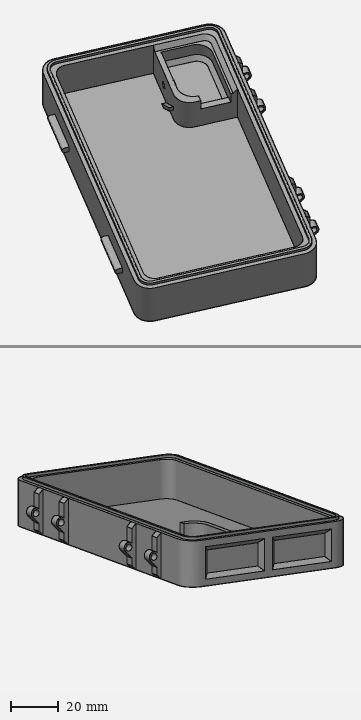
import cadquery as cq
import math

LENGTH = 140.0
WIDTH = 80.0
BODY_HEIGHT = 20.0
CORNER_RADIUS = 7.0
WALL = 5.0
FLOOR = 3.0
CAVITY_RADIUS = 5.0

LIP_HEIGHT = 1.2
LIP_OUTER_INSET = 1.9
LIP_INNER_INSET = 3.1

RECESS_SPAN = 29.0
RECESS_GAP = 4.0
RECESS_BOTTOM = 3.0
RECESS_TOP = 17.0
RECESS_BORDER = 2.0
RECESS_DEPTH = 2.0

PAIR_CENTERS = (-37.0, 37.0)
FITTING_Z = BODY_HEIGHT / 2
KNUCKLE_SPACING = 20.0
KNUCKLE_WIDTH = 4.0
KNUCKLE_PLATE = 2.0
KNUCKLE_RADIUS = 2.3
KNUCKLE_REACH = 5.79
PIN_HOLE_DIAMETER = 3.0
LATCH_LENGTH = 20.0
LATCH_DIAMETER = 2.8
LATCH_REACH = 3.2

BLOCK_RIGHT = -30.0
BLOCK_FRONT = 9.0
BLOCK_TOP = 18.0
BLOCK_RADIUS = 7.0
RIM_SLOPE = BODY_HEIGHT - BLOCK_TOP
POCKET_WALL = 3.0
POCKET_FRONT_WALL = 2.5
POCKET_RADIUS = 7.0
POCKET_FLOOR = 10.0
POCKET_CHAMFER = 2.0
NOTCH_FLOOR = 13.0
NOTCH_FRONT = 18.8

CROSS_HOLE_DIAMETER = 2.8
CROSS_HOLE_X = -50.7
CROSS_HOLE_LENGTH = 5.0

RIB_LEFT = -47.0
RIB_RIGHT = -37.0
RIB_LEFT_TOP = 3.0
RIB_RIGHT_TOP = 10.5
RIB_HEIGHT = 2.0
RIB_DEPTH = 2.0

CAVITY_LEFT = -LENGTH / 2 + WALL
CAVITY_BACK = WIDTH / 2 - WALL


def rounded_slab(inset, radius, bottom, height):
    """Rounded plate set in from the tray outline by the given amount."""
    slab = cq.Workplane("XY", origin=(0, 0, bottom))
    slab = slab.rect(LENGTH - 2 * inset, WIDTH - 2 * inset).extrude(height)
    return slab.edges("|Z").fillet(radius)


def box_between(x_range, y_range, z_range):
    """Box given by its limits along each axis."""
    size = [high - low for low, high in (x_range, y_range, z_range)]
    box = cq.Workplane("XY").box(*size, centered=False)
    return box.translate((x_range[0], y_range[0], z_range[0]))


def make_tray():
    """Open tray with a raised sealing lip around the rim."""
    body = rounded_slab(0, CORNER_RADIUS, 0, BODY_HEIGHT)
    lip = rounded_slab(LIP_OUTER_INSET, CORNER_RADIUS - LIP_OUTER_INSET, BODY_HEIGHT, LIP_HEIGHT)
    lip_opening = rounded_slab(LIP_INNER_INSET, CORNER_RADIUS - LIP_INNER_INSET, BODY_HEIGHT, LIP_HEIGHT)
    cavity = rounded_slab(WALL, CAVITY_RADIUS, FLOOR, BODY_HEIGHT)
    return body.union(lip.cut(lip_opening)).cut(cavity)


def make_end_recess(center_y):
    """Shallow rectangular recess with sloping sides in the -X face."""
    height = RECESS_TOP - RECESS_BOTTOM
    center = (-LENGTH / 2, center_y, (RECESS_TOP + RECESS_BOTTOM) / 2)
    recess = cq.Workplane("YZ", origin=center).rect(RECESS_SPAN, height)
    recess = recess.workplane(offset=RECESS_DEPTH)
    recess = recess.rect(RECESS_SPAN - 2 * RECESS_BORDER, height - 2 * RECESS_BORDER)
    return recess.loft(ruled=True)


def make_knuckle(center_x):
    """Hinge plate with chamfered ends, carrying an eye on a sloping web."""
    back = WIDTH / 2
    plate_face = back + KNUCKLE_PLATE
    eye_y = back + KNUCKLE_REACH - KNUCKLE_RADIUS
    tangent = KNUCKLE_RADIUS * math.sqrt(0.5)
    web_tip = (eye_y + tangent, FITTING_Z - tangent)
    web_foot = (plate_face, web_tip[1] - (web_tip[0] - plate_face))

    start = cq.Workplane("YZ", origin=(center_x - KNUCKLE_WIDTH / 2, 0, 0))
    plate = start.polyline([
        (back - WALL / 2, 0),
        (back, 0),
        (plate_face, KNUCKLE_PLATE),
        (plate_face, BODY_HEIGHT - KNUCKLE_PLATE),
        (back, BODY_HEIGHT),
        (back - WALL / 2, BODY_HEIGHT),
    ]).close().extrude(KNUCKLE_WIDTH)
    web = start.polyline([
        web_tip,
        web_foot,
        (back, web_foot[1]),
        (back, FITTING_Z),
        (eye_y, FITTING_Z),
    ]).close().extrude(KNUCKLE_WIDTH)
    eye = start.center(eye_y, FITTING_Z).circle(KNUCKLE_RADIUS).extrude(KNUCKLE_WIDTH)
    pin_hole = start.center(eye_y, FITTING_Z).circle(PIN_HOLE_DIAMETER / 2).extrude(KNUCKLE_WIDTH)
    return plate.union(web).union(eye).cut(pin_hole)


def make_latch_bar(center_x):
    """Horizontal bar with a half-round front edge."""
    radius = LATCH_DIAMETER / 2
    round_y = -WIDTH / 2 - LATCH_REACH + radius
    left = center_x - LATCH_LENGTH / 2
    nose = cq.Workplane("YZ", origin=(left, round_y, FITTING_Z)).circle(radius).extrude(LATCH_LENGTH)
    web = box_between(
        (left, left + LATCH_LENGTH),
        (round_y, -WIDTH / 2 + WALL / 2),
        (FITTING_Z - radius, FITTING_Z + radius),
    )
    return nose.union(web)


def make_pocket_block():
    """Raised block in the cavity corner, sloping up to the rim along both walls."""
    block = box_between((CAVITY_LEFT, BLOCK_RIGHT), (BLOCK_FRONT, CAVITY_BACK), (FLOOR, BODY_HEIGHT))
    block = block.edges("|Z and <X and >Y").fillet(CAVITY_RADIUS)
    block = block.edges("|Z and >X and <Y").fillet(BLOCK_RADIUS)

    clearance_top = BODY_HEIGHT + LIP_HEIGHT
    clearance = box_between((CAVITY_LEFT, LENGTH / 2), (-WIDTH / 2, CAVITY_BACK), (BLOCK_TOP, clearance_top))
    clearance = clearance.edges("|Z and <X and >Y").fillet(CAVITY_RADIUS)
    clearance = clearance.faces("<Z").chamfer(RIM_SLOPE)
    return block.cut(clearance)


def make_pocket():
    """Pocket with two opposite rounded corners and a sloping floor edge."""
    left = CAVITY_LEFT + POCKET_WALL
    right = BLOCK_RIGHT - POCKET_WALL
    front = BLOCK_FRONT + POCKET_FRONT_WALL
    back = CAVITY_BACK - POCKET_WALL
    pocket = box_between((left, right), (front, back), (POCKET_FLOOR, BODY_HEIGHT))
    pocket = pocket.edges("|Z and >X and <Y").fillet(POCKET_RADIUS)

    sloped = box_between((left, LENGTH / 2), (-WIDTH / 2, back), (POCKET_FLOOR, BODY_HEIGHT))
    sloped = sloped.edges("|Z and <X and >Y").fillet(POCKET_RADIUS)
    sloped = sloped.faces("<Z").chamfer(POCKET_CHAMFER)
    pocket = pocket.intersect(sloped)

    notch = box_between((right - POCKET_WALL, BLOCK_RIGHT), (NOTCH_FRONT, back), (NOTCH_FLOOR, BODY_HEIGHT))
    hole = cq.Workplane("XZ", origin=(CROSS_HOLE_X, BLOCK_FRONT, POCKET_FLOOR))
    hole = hole.circle(CROSS_HOLE_DIAMETER / 2).extrude(-CROSS_HOLE_LENGTH)
    return pocket.union(notch).union(hole)


def make_rib():
    """Inclined rib reaching forward from the pocket block."""
    rib = cq.Workplane("XZ", origin=(0, BLOCK_FRONT + POCKET_FRONT_WALL / 2, 0)).polyline([
        (RIB_LEFT, RIB_LEFT_TOP),
        (RIB_RIGHT, RIB_RIGHT_TOP),
        (RIB_RIGHT, RIB_RIGHT_TOP - RIB_HEIGHT),
        (RIB_LEFT, RIB_LEFT_TOP - RIB_HEIGHT),
    ]).close()
    return rib.extrude(RIB_DEPTH + POCKET_FRONT_WALL / 2)


result = make_tray().union(make_pocket_block()).union(make_rib()).cut(make_pocket())

for side in (-1, 1):
    result = result.cut(make_end_recess(side * (RECESS_SPAN + RECESS_GAP) / 2))

for pair_center in PAIR_CENTERS:
    result = result.union(make_latch_bar(pair_center))
    for side in (-1, 1):
        result = result.union(make_knuckle(pair_center + side * KNUCKLE_SPACING / 2))